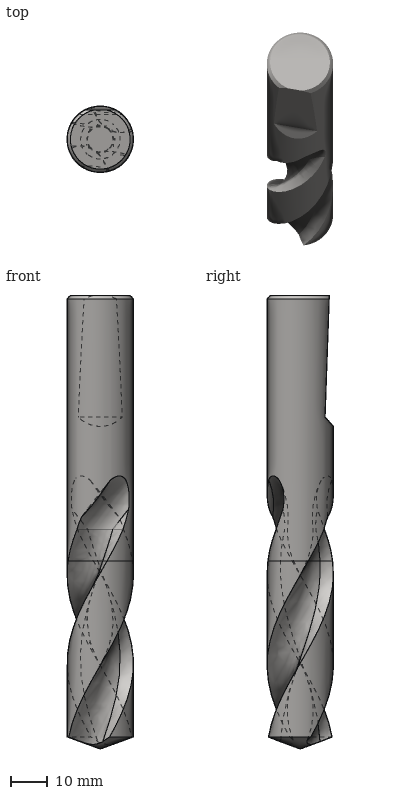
import cadquery as cq
import math


diameter = 18.0
radius = diameter / 2
total_length = 123.0
point_angle = 140.0
point_height = radius / math.tan(math.radians(point_angle / 2))
head_length = 51.0
shank_chamfer = 0.9

flute_count = 2
helix_angle = 30.0
helix_lead = math.pi * diameter / math.tan(math.radians(helix_angle))
helix_length = 59.5
flute_overrun = 2.0
flute_facing_angle = -88.5

flank_radius = 1.25 * radius
mouth_radius = 2 * radius
mouth_heel_angle = -18.0
web_radius = 3.5
web_angle = 4.0
heel_angle = -43.5
crease_radius = 5.4
crease_angle = 37.0
cutting_edge_angle = 43.0

runout_radius = 36.0
runout_angle = 8.0
runout_sweep = 70.0
runout_tilt = 37.0

notch_length = 33.0
notch_slope = 2.0
notch_start_depth = 1.1
notch_end_height = 2.5


def polar(distance, angle):
    """Point in the plane at a distance from the drill axis and an angle in degrees."""
    turn = math.radians(angle)
    return (distance * math.cos(turn), distance * math.sin(turn))


def flute_section(height, facing_angle):
    """Closed flute section: concave heel side, straight rake face and outer mouth."""
    heel = facing_angle + heel_angle
    cutting_edge = facing_angle + cutting_edge_angle
    return (
        cq.Workplane("XY", origin=(0, 0, height))
        .moveTo(*polar(flank_radius, heel))
        .threePointArc(
            polar(web_radius, facing_angle + web_angle),
            polar(crease_radius, facing_angle + crease_angle),
        )
        .lineTo(*polar(flank_radius, cutting_edge))
        .lineTo(*polar(mouth_radius, cutting_edge))
        .threePointArc(polar(mouth_radius, facing_angle), polar(mouth_radius, facing_angle + mouth_heel_angle))
        .close()
    )


def make_flute_cutter():
    """Twisted cutter for the helical part of one flute."""
    cutter_length = helix_length + flute_overrun
    twist = 360 * cutter_length / helix_lead
    return flute_section(-flute_overrun, flute_facing_angle - twist).twistExtrude(cutter_length, twist)


def make_runout_cutter():
    """Cutter that lifts the flute section out of the shank above the helix."""
    swing = flute_facing_angle + runout_angle
    tilt = math.radians(runout_tilt)
    along_x, along_y = polar(math.sin(tilt), swing + 90)
    climb = cq.Vector(along_x, along_y, math.cos(tilt))
    outward = cq.Vector(*polar(1, swing))
    arc_plane = cq.Plane(origin=(0, 0, helix_length), xDir=outward, normal=outward.cross(climb))
    arc_middle = polar(runout_radius, 180 - runout_sweep / 2)
    arc_end = polar(runout_radius, 180 - runout_sweep)
    path = cq.Workplane(arc_plane).threePointArc(
        (arc_middle[0] + runout_radius, arc_middle[1]),
        (arc_end[0] + runout_radius, arc_end[1]),
    )
    return flute_section(helix_length, flute_facing_angle).sweep(path)


def make_notch_cutter():
    """Wedge for the whistle notch, deepening away from the shank end."""
    end_depth = notch_start_depth + notch_length * math.tan(math.radians(notch_slope))
    end_z = total_length - notch_length
    return (
        cq.Workplane("YZ", origin=(-diameter / 2, 0, 0))
        .moveTo(radius - notch_start_depth, total_length)
        .lineTo(radius - end_depth, end_z)
        .lineTo(radius, end_z - notch_end_height)
        .lineTo(diameter, end_z - notch_end_height)
        .lineTo(diameter, total_length)
        .close()
        .extrude(diameter)
    )


def cut_flutes(body, cutter):
    """Cut one copy of the cutter for every flute."""
    for index in range(flute_count):
        body = body.cut(cutter.rotate((0, 0, 0), (0, 0, 1), index * 360 / flute_count))
    return body


def make_cutting_head():
    """Pointed cylinder with the flutes through its full length."""
    outline = (
        cq.Workplane("XZ")
        .lineTo(radius, point_height)
        .lineTo(radius, head_length)
        .lineTo(0, head_length)
        .close()
    )
    blank = outline.revolve(360, (0, 0), (0, 1))
    return cut_flutes(blank, make_flute_cutter())


def make_shank():
    """Chamfered cylinder with the flute ends, their run-outs and the whistle notch."""
    blank = (
        cq.Workplane("XY", origin=(0, 0, head_length))
        .circle(radius)
        .extrude(total_length - head_length)
        .faces(">Z")
        .chamfer(shank_chamfer)
    )
    fluted = cut_flutes(blank, make_flute_cutter())
    run_out = cut_flutes(fluted, make_runout_cutter())
    return run_out.cut(make_notch_cutter())


cutting_head = make_cutting_head()
shank = make_shank()
result = cq.Compound.makeCompound([cutting_head.val(), shank.val()])